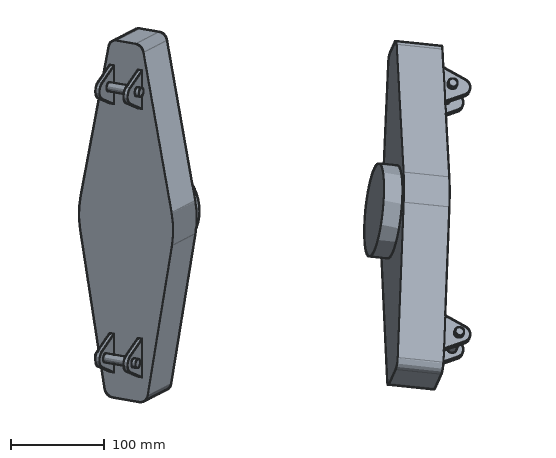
import cadquery as cq
import math

LENGTH = 400.0
PLATE_THICKNESS = 50.0
WAIST_HALF_WIDTH = 60.0
TOP_HALF_WIDTH = 20.0
BOTTOM_HALF_WIDTH = 25.0
TOP_CORNER_RADIUS = 10.0
BOTTOM_CORNER_RADIUS = 11.0
WAIST_RADIUS = 100.0

BOSS_DIAMETER = 100.0
BOSS_HEIGHT = 20.0

LUG_REACH = 31.0
LUG_BASE_HEIGHT = 43.0
LUG_TIP_RADIUS = 10.0
LUG_THICKNESS = 5.0
LUG_SPACING = 35.0
LUG_OFFSET_Z = 150.0
PIN_DIAMETER = 10.0
PIN_LENGTH = 50.0
TOP_PIN_REACH = 11.0
TOP_PIN_Z = 151.0
BOTTOM_PIN_REACH = 18.0
BOTTOM_PIN_Z = -150.5


def make_plate():
    half_length = LENGTH / 2
    plate = (
        cq.Workplane("XZ")
        .polyline([
            (-TOP_HALF_WIDTH, half_length),
            (TOP_HALF_WIDTH, half_length),
            (WAIST_HALF_WIDTH, 0),
            (BOTTOM_HALF_WIDTH, -half_length),
            (-BOTTOM_HALF_WIDTH, -half_length),
            (-WAIST_HALF_WIDTH, 0),
        ])
        .close()
        .extrude(-PLATE_THICKNESS)
    )
    plate = plate.edges("|Y and >Z").fillet(TOP_CORNER_RADIUS)
    plate = plate.edges("|Y and <Z").fillet(BOTTOM_CORNER_RADIUS)
    for side in (">X", "<X"):
        plate = plate.edges("|Y").edges(side).fillet(WAIST_RADIUS)
    return plate


def make_lug(center_x, center_z):
    """Lug whose straight sides run tangent into its round tip."""
    half_base = LUG_BASE_HEIGHT / 2
    tip_center = LUG_REACH - LUG_TIP_RADIUS
    side_slope = math.atan2(half_base, tip_center) - math.asin(
        LUG_TIP_RADIUS / math.hypot(half_base, tip_center)
    )
    tangent_y = -(tip_center + LUG_TIP_RADIUS * math.sin(side_slope))
    tangent_z = LUG_TIP_RADIUS * math.cos(side_slope)
    return (
        cq.Workplane("YZ")
        .moveTo(0, half_base)
        .lineTo(tangent_y, tangent_z)
        .threePointArc((-LUG_REACH, 0), (tangent_y, -tangent_z))
        .lineTo(0, -half_base)
        .close()
        .extrude(LUG_THICKNESS)
        .translate((center_x - LUG_THICKNESS / 2, 0, center_z))
    )


def make_pin(reach, z):
    return (
        cq.Workplane("YZ", origin=(-PIN_LENGTH / 2, -reach, z))
        .circle(PIN_DIAMETER / 2)
        .extrude(PIN_LENGTH)
    )


def make_housing():
    """Plate with its lugs and cross pins as one solid."""
    housing = make_plate()
    for lug_z in (LUG_OFFSET_Z, -LUG_OFFSET_Z):
        for lug_x in (-LUG_SPACING / 2, LUG_SPACING / 2):
            housing = housing.union(make_lug(lug_x, lug_z))
    housing = housing.union(make_pin(TOP_PIN_REACH, TOP_PIN_Z))
    return housing.union(make_pin(BOTTOM_PIN_REACH, BOTTOM_PIN_Z))


def make_boss():
    return (
        cq.Workplane("XZ", origin=(0, PLATE_THICKNESS, 0))
        .circle(BOSS_DIAMETER / 2)
        .extrude(-BOSS_HEIGHT)
    )


housing = make_housing()
boss = make_boss()

result = cq.Compound.makeCompound([housing.val(), boss.val()])